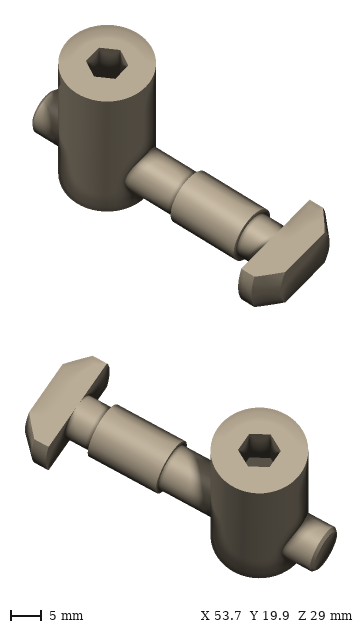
import cadquery as cq
import math

barrel_diameter = 16.0
barrel_height = 29.0
hex_across_flats = 6.05
hex_depth = 8.05

bolt_axis_z = 7.0
bolt_length = 53.7
bolt_start_x = -12.75
bolt_end_x = bolt_start_x + bolt_length
rod_diameter = 8.2
rod_chamfer = 0.55
sleeve_diameter = 9.7
sleeve_start_x = 16.9
sleeve_length = 13.05
sleeve_end_x = sleeve_start_x + sleeve_length
neck_diameter = 8.0

head_diameter = 19.9
head_length = 6.1
head_thickness = neck_diameter
head_chamfer = 3.4
head_start_x = bolt_end_x - head_length


def bolt_cylinder(diameter, start_x, end_x):
    """Solid cylinder on the bolt axis between two X positions."""
    return (
        cq.Workplane("YZ", origin=(start_x, 0, bolt_axis_z))
        .circle(diameter / 2)
        .extrude(end_x - start_x)
    )


def make_head():
    disc = bolt_cylinder(head_diameter, head_start_x, bolt_end_x)
    disc = disc.faces(">X").edges().chamfer(head_chamfer)
    slab = (
        cq.Workplane("YZ", origin=(head_start_x, 0, bolt_axis_z))
        .rect(head_diameter, head_thickness)
        .extrude(head_length)
    )
    return disc.intersect(slab)


def make_bolt():
    rod = bolt_cylinder(rod_diameter, bolt_start_x, sleeve_start_x)
    rod = rod.faces("<X").edges().chamfer(rod_chamfer)
    sleeve = bolt_cylinder(sleeve_diameter, sleeve_start_x, sleeve_end_x)
    neck = bolt_cylinder(neck_diameter, sleeve_end_x, head_start_x)
    return rod.union(sleeve).union(neck).union(make_head())


def make_hex_socket():
    """Hexagon with two corners on the Y axis, sunk from the barrel top."""
    across_corners = hex_across_flats / math.cos(math.pi / 6)
    return (
        cq.Workplane("XY", origin=(0, 0, barrel_height))
        .transformed(rotate=(0, 0, 90))
        .polygon(6, across_corners)
        .extrude(-hex_depth)
    )


barrel = cq.Workplane("XY").circle(barrel_diameter / 2).extrude(barrel_height)
result = barrel.union(make_bolt()).cut(make_hex_socket())